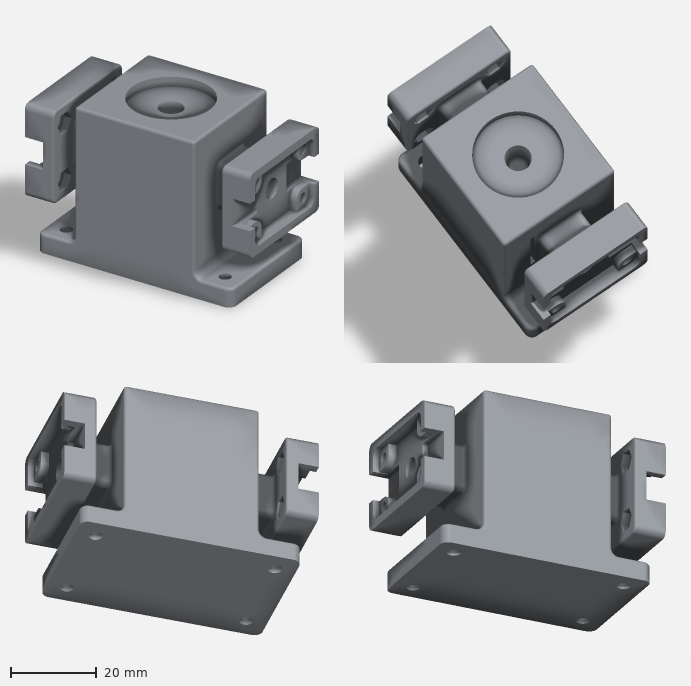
import cadquery as cq
import math

tolerance = 0.005

base_length = 54.0
body_width = 32.0
base_height = 5.0
base_corner_radius = 2.0
block_length = 33.2
body_height = 41.0
block_foot_radius = 2.0
body_edge_radius = 0.75

mount_hole_diameter = 3.2
mount_hole_x = 22.0
mount_hole_y = 11.0

recess_diameter = 21.5
recess_depth = 2.5
socket_top_diameter = 6.4
socket_bottom_diameter = 4.75
socket_depth = 6.25
socket_floor_radius = 1.0

axis_height = 25.0
arm_size = 12.0
arm_edge_radius = 1.55
arm_joint_radius = 0.75
bore_diameter = 2.0
counterbore_diameter = 5.3

left_face_x = -31.0
right_face_x = 31.5
left_bracket_height = 24.5
right_bracket_height = 22.25
bracket_width = 30.0
bracket_thickness = 8.0
bracket_corner_radius = 1.55
bracket_back_radius = 0.55

wall = 2.1
pocket_depth = 3.55
pocket_corner_radius = 2.0
boss_size = 5.25
boss_setback = 1.5
screw_hole_diameter = 2.7
nut_width = 5.1
nut_depth = 1.8

notch_height = 7.25
notch_depth = 5.0
notch_inner_y = 6.3
notch_corner_radius = 0.6

slot_width = 1.4
slot_outer_y = 8.4
slot_height = 17.25
slot_depth = 2.5


def box(x_start, x_end, width, height, y=0.0, z=axis_height):
    """Box between two X planes, centred on y and z."""
    return (
        cq.Workplane("XY")
        .box(x_end - x_start, width, height)
        .translate(((x_start + x_end) / 2, y, z))
    )


def x_cylinder(diameter, x_start, x_end, y=0.0, z=axis_height):
    """Cylinder along X between two X planes."""
    return (
        cq.Workplane("YZ", origin=(x_start, y, z))
        .circle(diameter / 2)
        .extrude(x_end - x_start)
    )


def make_body():
    """Base and block, joined by concave fillets and rounded along their outer edges."""
    half_base = base_length / 2
    half_block = block_length / 2
    body = (
        cq.Workplane("XZ", origin=(0, body_width / 2, 0))
        .moveTo(-half_base, 0)
        .lineTo(half_base, 0)
        .lineTo(half_base, base_height)
        .lineTo(half_block + block_foot_radius, base_height)
        .radiusArc((half_block, base_height + block_foot_radius), block_foot_radius)
        .lineTo(half_block, body_height)
        .lineTo(-half_block, body_height)
        .lineTo(-half_block, base_height + block_foot_radius)
        .radiusArc((-half_block - block_foot_radius, base_height), block_foot_radius)
        .lineTo(-half_base, base_height)
        .close()
        .extrude(body_width)
    )
    base_corners = cq.selectors.BoxSelector(
        (-base_length, -body_width, 0), (base_length, body_width, base_height)
    )
    body = body.edges("|Z").edges(base_corners).fillet(base_corner_radius)
    round_edges = [
        edge
        for edge in body.edges().vals()
        if edge.BoundingBox().zmin > base_height - tolerance
        and not (edge.geomType() == "LINE" and is_foot_seam(edge))
    ]
    return body.newObject(round_edges).fillet(body_edge_radius)


def is_foot_seam(edge):
    """True for the seams where the concave fillets run into flat faces."""
    bounds = edge.BoundingBox()
    runs_along_y = bounds.ylen > body_width / 2
    inside_x = abs(edge.Center().x) < base_length / 2 - tolerance
    return runs_along_y and inside_x and edge.Center().z < body_height - tolerance


def cut_base_holes(part):
    holes = (
        cq.Workplane("XY")
        .rect(2 * mount_hole_x, 2 * mount_hole_y, forConstruction=True)
        .vertices()
        .circle(mount_hole_diameter / 2)
        .extrude(base_height)
    )
    return part.cut(holes)


def cut_socket(part):
    """Shallow round recess with a tapered blind hole that has a rounded floor."""
    recess_floor = body_height - recess_depth
    recess = (
        cq.Workplane("XY", origin=(0, 0, recess_floor))
        .circle(recess_diameter / 2)
        .extrude(recess_depth)
    )
    floor = recess_floor - socket_depth
    bottom_radius = socket_bottom_diameter / 2
    flat_radius = bottom_radius - socket_floor_radius
    socket = (
        cq.Workplane("XZ")
        .moveTo(0, floor)
        .lineTo(flat_radius, floor)
        .radiusArc((bottom_radius, floor + socket_floor_radius), -socket_floor_radius)
        .lineTo(socket_top_diameter / 2, recess_floor)
        .lineTo(0, recess_floor)
        .close()
        .revolve(360, (0, 0, 0), (0, 1, 0))
    )
    return part.cut(recess).cut(socket)


def cut_slot(part):
    face_x = -block_length / 2
    slot_y = slot_outer_y - slot_width / 2
    return part.cut(box(face_x, face_x + slot_depth, slot_width, slot_height, slot_y))


def make_bracket(height):
    """Bracket with its outer face on X = 0 and its back towards +X."""
    bracket = (
        box(0, bracket_thickness, bracket_width, height)
        .edges("|X")
        .fillet(bracket_corner_radius)
        .faces(">X")
        .edges()
        .fillet(bracket_back_radius)
    )
    pocket_width = bracket_width - 2 * wall
    pocket_height = height - 2 * wall
    pocket = box(0, pocket_depth, pocket_width, pocket_height)
    pocket = pocket.edges("|X").fillet(pocket_corner_radius)
    screw_y = (pocket_width - boss_size) / 2
    screw_z = (pocket_height - boss_size) / 2
    corners = [(side_y, side_z) for side_y in (-1, 1) for side_z in (-1, 1)]
    for side_y, side_z in corners:
        boss = make_boss(side_y, side_z, side_y * screw_y, axis_height + side_z * screw_z)
        pocket = pocket.cut(boss)
    bracket = bracket.cut(pocket)

    notch_length = bracket_width / 2 - notch_inner_y
    notch_y = notch_inner_y + notch_length / 2
    for side_y in (-1, 1):
        notch = box(0, notch_depth, notch_length, notch_height, side_y * notch_y)
        inner_face = "<Y" if side_y > 0 else ">Y"
        notch = notch.faces(inner_face).edges("|X").fillet(notch_corner_radius)
        bracket = bracket.cut(notch)

    for side_y, side_z in corners:
        y = side_y * screw_y
        z = axis_height + side_z * screw_z
        nut_trap = (
            cq.Workplane("YZ", origin=(bracket_thickness - nut_depth, y, z))
            .polygon(6, nut_width / math.cos(math.pi / 6))
            .extrude(nut_depth)
        )
        screw_hole = x_cylinder(screw_hole_diameter, 0, bracket_thickness, y, z)
        bracket = bracket.cut(screw_hole).cut(nut_trap)
    return bracket


def make_boss(side_y, side_z, y, z):
    """Screw boss in a pocket corner, with its free corner fully rounded."""
    boss = box(boss_setback, pocket_depth, boss_size, boss_size, y, z)
    free_face = "<Y" if side_y > 0 else ">Y"
    free_edge = "<Z" if side_z > 0 else ">Z"
    return boss.faces(free_face).edges(free_edge).fillet(boss_size / 2)


def add_arm_and_bracket(part, face_x, height):
    """Bracket and the square arm that carries it, with rounded joints at both arm ends."""
    side = math.copysign(1, face_x)
    bracket = make_bracket(height)
    if side > 0:
        bracket = bracket.mirror("YZ")
    bracket = bracket.translate((face_x, 0, 0))
    arm_ends = sorted((side * block_length / 2, face_x - side * bracket_thickness))
    arm = box(*arm_ends, arm_size, arm_size).edges("|X").fillet(arm_edge_radius)
    part = part.union(arm).union(bracket)
    joints = [
        edge
        for edge in part.edges().vals()
        if any(is_arm_joint(edge, end) for end in arm_ends)
    ]
    part = part.newObject(joints).fillet(arm_joint_radius)
    counterbore_ends = sorted((face_x, side * block_length / 2))
    return part.cut(x_cylinder(counterbore_diameter, *counterbore_ends))


def is_arm_joint(edge, end_x):
    """True for an edge of the arm's outline on the plane X = end_x."""
    bounds = edge.BoundingBox()
    reach = arm_size / 2 + tolerance
    on_plane = max(abs(bounds.xmin - end_x), abs(bounds.xmax - end_x)) < tolerance
    inside_y = max(abs(bounds.ymin), abs(bounds.ymax)) < reach
    inside_z = max(abs(bounds.zmin - axis_height), abs(bounds.zmax - axis_height)) < reach
    return on_plane and inside_y and inside_z


result = make_body()
result = cut_base_holes(result)
result = cut_socket(result)
result = add_arm_and_bracket(result, left_face_x, left_bracket_height)
result = add_arm_and_bracket(result, right_face_x, right_bracket_height)
result = result.cut(x_cylinder(bore_diameter, left_face_x, right_face_x))
result = cut_slot(result)